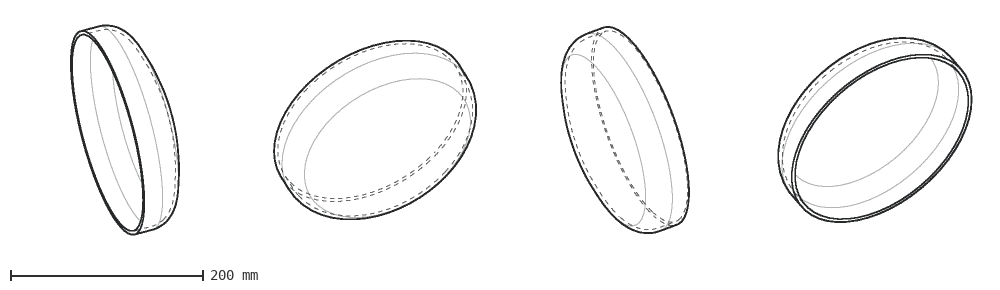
import cadquery as cq
import math

outer_diameter = 219.0
inner_diameter = 211.0
skirt_length = 20.0
crown_radius = 219.0
knuckle_radius = 22.0

outer_radius = outer_diameter / 2
inner_radius = inner_diameter / 2
wall = outer_radius - inner_radius

knuckle_center_radius = inner_radius - knuckle_radius
tangent_angle = math.asin(knuckle_center_radius / (crown_radius - knuckle_radius))
crown_center_y = skirt_length - (crown_radius - knuckle_radius) * math.cos(tangent_angle)


def knuckle_point(radius, angle):
    """Point on a knuckle arc, with the angle measured from the axis."""
    return (
        knuckle_center_radius + radius * math.sin(angle),
        skirt_length + radius * math.cos(angle),
    )


def crown_point(radius, angle):
    """Point on a crown arc, with the angle measured from the axis."""
    return (radius * math.sin(angle), crown_center_y + radius * math.cos(angle))


def solid_dome(offset):
    """Solid head bounded by the inside surface moved outward by the offset."""
    skirt_radius = inner_radius + offset
    knuckle = knuckle_radius + offset
    crown = crown_radius + offset
    knuckle_mid_angle = (tangent_angle + math.pi / 2) / 2
    profile = (
        cq.Workplane("XY")
        .lineTo(skirt_radius, 0)
        .lineTo(skirt_radius, skirt_length)
        .threePointArc(
            knuckle_point(knuckle, knuckle_mid_angle),
            knuckle_point(knuckle, tangent_angle),
        )
        .threePointArc(crown_point(crown, tangent_angle / 2), crown_point(crown, 0))
        .close()
    )
    return profile.revolve(360, (0, 0, 0), (0, 1, 0))


result = solid_dome(wall).cut(solid_dome(0))